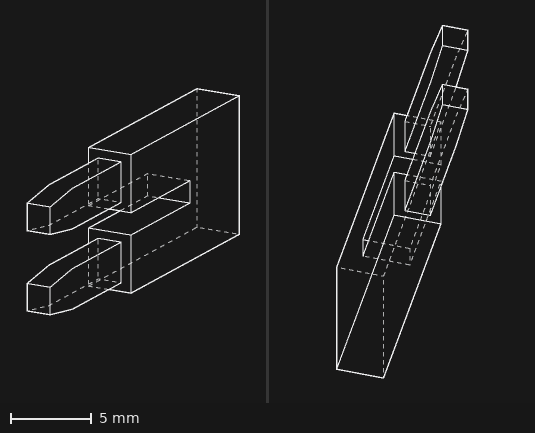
import cadquery as cq

total_length = 22.98
body_width = 3.0
body_height = 9.0

body_length = 13.88
slot_depth = 7.54
slot_height = 1.45

pin_width = 1.63
pin_height = 2.65
pin_pitch = 5.22
tip_height = 1.8
taper_length = 2.83

back_y = total_length / 2
body_front_y = back_y - body_length
tip_y = -total_length / 2
taper_start_y = tip_y + taper_length


def make_body():
    """Rectangular block with a slot open toward the pins."""
    block = cq.Workplane("XY").box(body_width, body_length, body_height)
    block = block.translate((0, body_front_y + body_length / 2, 0))
    slot = cq.Workplane("XY").box(body_width, slot_depth, slot_height)
    return block.cut(slot.translate((0, body_front_y + slot_depth / 2, 0)))


def make_pin(center_z):
    """Flat pin whose upper and lower faces taper toward the tip."""
    profile = [
        (body_front_y, center_z - pin_height / 2),
        (taper_start_y, center_z - pin_height / 2),
        (tip_y, center_z - tip_height / 2),
        (tip_y, center_z + tip_height / 2),
        (taper_start_y, center_z + pin_height / 2),
        (body_front_y, center_z + pin_height / 2),
    ]
    return cq.Workplane("YZ").polyline(profile).close().extrude(pin_width / 2, both=True)


result = make_body()
for side in (-1, 1):
    result = result.union(make_pin(side * pin_pitch / 2))